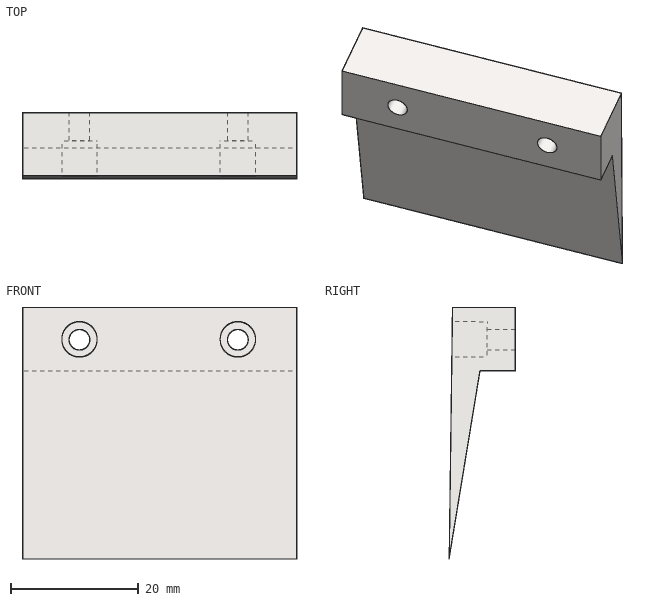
import cadquery as cq

width = 43.0
depth = 10.4
height = 39.5

front_lean = 0.5
bar_height = 9.98
blade_root_y = 4.85

hole_spacing = 24.85
hole_center_x = 21.33
hole_drop = bar_height / 2
hole_diameter = 3.22
counterbore_diameter = 5.55
counterbore_depth = 5.5

bar_bottom_z = height - bar_height
hole_z = height - hole_drop
hole_front_y = front_lean * hole_z / height


def make_body():
    """Extrude the side profile, with the sharp blade tip at Y = Z = 0."""
    return (
        cq.Workplane("YZ")
        .moveTo(0, 0)
        .lineTo(front_lean, height)
        .lineTo(depth, height)
        .lineTo(depth, bar_bottom_z)
        .lineTo(blade_root_y, bar_bottom_z)
        .close()
        .extrude(width)
    )


def add_screw_holes(body):
    """Cut the two counterbored holes from the front face, along its normal."""
    front_face = cq.Plane(
        origin=(hole_center_x, hole_front_y, hole_z),
        xDir=(1, 0, 0),
        normal=(0, -height, front_lean),
    )
    return (
        body.copyWorkplane(cq.Workplane(front_face))
        .pushPoints([(-hole_spacing / 2, 0), (hole_spacing / 2, 0)])
        .cboreHole(hole_diameter, counterbore_diameter, counterbore_depth)
    )


result = add_screw_holes(make_body())